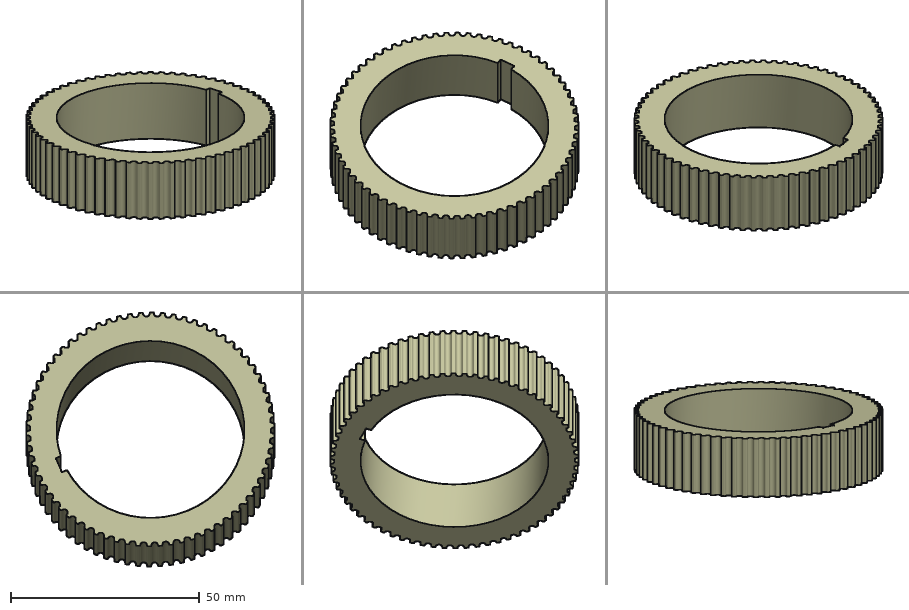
import cadquery as cq
import math

outer_radius = 33.05
bore_radius = 25.0
height = 16.0

tooth_count = 70
groove_depth = 1.1
floor_radius = 0.85
flank_radius = 1.5
flank_center_offset = 0.61
tip_round_radius = 0.25

key_width = 4.2
key_floor_distance = 26.4

tooth_pitch = 2 * math.pi / tooth_count


def polar(radius, angle):
    return cq.Vector(radius * math.cos(angle), radius * math.sin(angle))


def point_toward(center, radius, target):
    """Point of a circle in the direction of a target point."""
    return center + (target - center).normalized() * radius


def mid_arc(center, radius, start, end):
    """Point of a circle halfway along the short arc between two of its points."""
    return point_toward(center, radius, (start + end) / 2)


def half_groove():
    """Five points from the floor of a groove on +X to its tip edge on the +Y side.

    They bound three tangent arcs: floor (half of it), flank and tip round. The first point is the
    end of the half floor, then come the middle and end of the flank and of the tip round.
    """
    floor_center = cq.Vector(outer_radius - groove_depth + floor_radius, 0)

    center_rise = math.sqrt((flank_radius - floor_radius) ** 2 - flank_center_offset**2)
    flank_center = floor_center + cq.Vector(center_rise, -flank_center_offset)
    floor_end = flank_center + (floor_center - flank_center).normalized() * flank_radius

    round_distance = outer_radius - tip_round_radius
    flank_distance = flank_center.Length
    center_gap = flank_radius + tip_round_radius
    round_turn = math.acos(
        (round_distance**2 + flank_distance**2 - center_gap**2) / (2 * round_distance * flank_distance)
    )
    round_angle = math.atan2(flank_center.y, flank_center.x) + round_turn
    round_center = polar(round_distance, round_angle)

    flank_end = point_toward(flank_center, flank_radius, round_center)
    tip_edge = polar(outer_radius, round_angle)
    flank_mid = mid_arc(flank_center, flank_radius, floor_end, flank_end)
    round_mid = mid_arc(round_center, tip_round_radius, flank_end, tip_edge)
    return [floor_end, flank_mid, flank_end, round_mid, tip_edge]


def turned(point, angle):
    """Point turned about the ring axis."""
    return polar(point.Length, math.atan2(point.y, point.x) + angle)


def mirrored(point):
    """Point reflected across the groove centre line on +X."""
    return cq.Vector(point.x, -point.y)


def toothed_outline():
    """Closed outer profile with a groove centred on +X, which puts a tooth on +Y."""
    rising_side = half_groove()
    falling_side = [mirrored(point) for point in reversed(rising_side)]
    groove_bottom = cq.Vector(outer_radius - groove_depth, 0)
    tooth_middle = polar(outer_radius, tooth_pitch / 2)
    next_tip_edge = turned(falling_side[0], tooth_pitch)
    one_pitch = falling_side[1:] + [groove_bottom] + rising_side + [tooth_middle, next_tip_edge]

    profile = cq.Workplane("XY").moveTo(falling_side[0].x, falling_side[0].y)
    for index in range(tooth_count):
        points = [turned(point, index * tooth_pitch) for point in one_pitch]
        for arc_middle, arc_end in zip(points[0::2], points[1::2]):
            profile = profile.threePointArc(arc_middle, arc_end)
    return profile.close()


def keyway():
    """Rectangular slot from the bore axis out to the keyway floor, through the full height."""
    slot = cq.Workplane("XY").center(0, key_floor_distance / 2).rect(key_width, key_floor_distance)
    return slot.extrude(height)


toothed_disc = toothed_outline().extrude(height)
bore = cq.Workplane("XY").circle(bore_radius).extrude(height)
result = toothed_disc.cut(bore).cut(keyway())